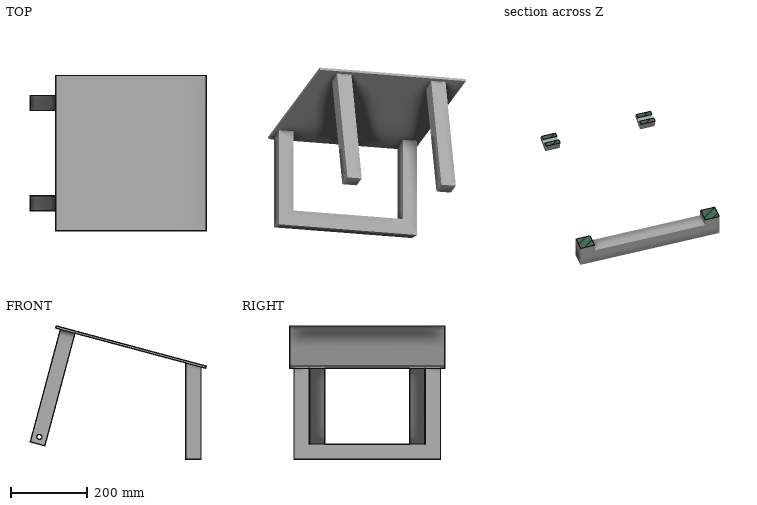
import cadquery as cq
import math

INCH = 25.4

top_side = 16 * INCH
top_thickness = INCH / 4
tilt_deg = 15.0
tilt = math.radians(tilt_deg)

bar = 40.0
edge_inset = INCH / 2

leg_length = 12 * INCH
leg_span = 302.0
pivot_diameter = INCH / 2
pivot_from_end = 0.75 * INCH

leg_clearance = 1.0
frame_opening = leg_span + 2 * leg_clearance
frame_width = frame_opening + 2 * bar
frame_low_height = 9.5 * INCH
frame_high_height = frame_low_height + bar * math.tan(tilt)

low_contact = top_side - edge_inset
high_edge_z = frame_low_height + low_contact * math.sin(tilt)
frame_back_x = low_contact * math.cos(tilt)
frame_front_x = frame_back_x - bar


def tilted(body):
    """Tip a body built square to the Z = 0 plane onto the slope of the top's underside."""
    return body.rotate((0, 0, 0), (0, 1, 0), tilt_deg).translate((0, 0, high_edge_z))


def make_top():
    """Square sheet whose underside runs down from the high edge."""
    sheet = cq.Workplane("XY").box(top_side, top_side, top_thickness, centered=(False, True, False))
    return tilted(sheet)


def make_leg(center_y):
    """Square leg hanging from the underside, with a pivot hole across its free end."""
    leg_center_x = edge_inset + bar / 2
    leg = cq.Workplane("XY").box(bar, bar, leg_length).translate((leg_center_x, center_y, -leg_length / 2))
    pivot = (
        cq.Workplane("XZ", origin=(leg_center_x, center_y, pivot_from_end - leg_length))
        .circle(pivot_diameter / 2)
        .extrude(bar, both=True)
    )
    return tilted(leg.cut(pivot))


def make_frame():
    """U frame with two uprights cut to the slope and a cross bar on the ground."""
    profile = [
        (frame_front_x, 0),
        (frame_back_x, 0),
        (frame_back_x, frame_low_height),
        (frame_front_x, frame_high_height),
    ]
    block = cq.Workplane("XZ").polyline(profile).close().extrude(frame_width / 2, both=True)
    opening = cq.Workplane("XY").box(
        bar, frame_opening, frame_high_height, centered=(False, True, False)
    )
    return block.cut(opening.translate((frame_front_x, 0, bar)))


result = make_top().union(make_frame())
for side in (-1, 1):
    result = result.union(make_leg(side * (leg_span - bar) / 2))